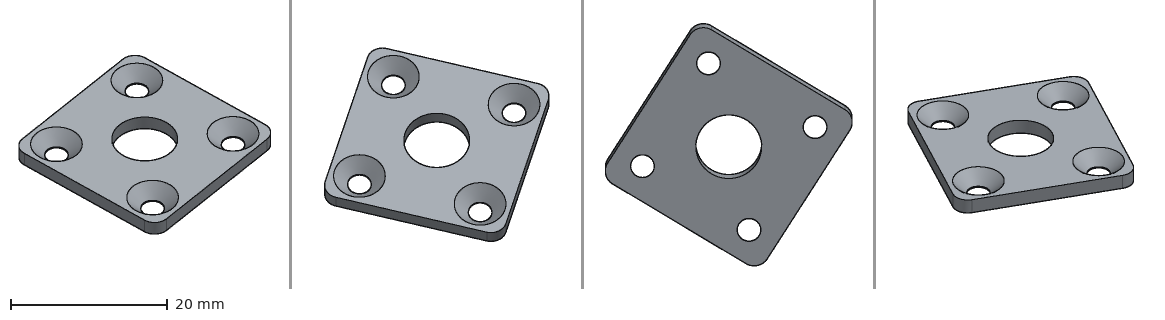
import cadquery as cq

side = 24.0
thickness = 2.0
corner_radius = thickness

bore_diameter = 8.4
screw_hole_spacing = 16.0
screw_hole_diameter = 3.0
countersink_diameter = 6.6
countersink_angle = 90.0

plate = (
    cq.Workplane("XY")
    .rect(side, side)
    .extrude(thickness)
    .edges("|Z")
    .fillet(corner_radius)
)

bored_plate = plate.faces(">Z").workplane().hole(bore_diameter)

result = (
    bored_plate.faces(">Z")
    .workplane(origin=(0, 0, thickness))
    .rect(screw_hole_spacing, screw_hole_spacing, forConstruction=True)
    .vertices()
    .cskHole(screw_hole_diameter, countersink_diameter, countersink_angle)
)